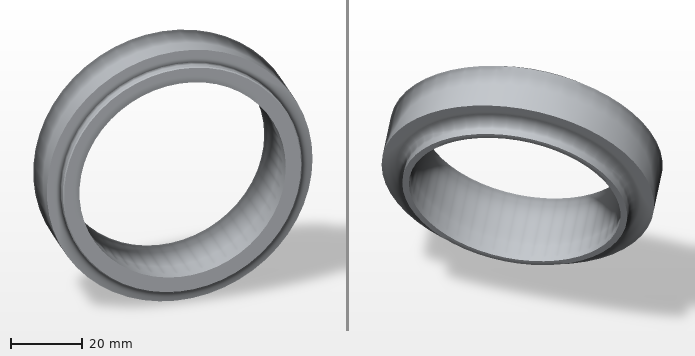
import cadquery as cq

bore_diameter = 60.3
neck_diameter = 64.1
spigot_diameter = 69.9
flange_diameter = 77.67

total_length = 21.5
neck_length = 5.0
spigot_length = 2.9
flange_length = total_length - neck_length - spigot_length

neck_fillet_radius = 2.5
spigot_chamfer = 0.3


def ring_section():
    """Half section of the ring: local x runs along the axis, local y is the radius."""
    bore_radius = bore_diameter / 2
    neck_radius = neck_diameter / 2
    spigot_radius = spigot_diameter / 2
    flange_radius = flange_diameter / 2
    flange_start = neck_length
    flange_end = flange_start + flange_length

    return (
        cq.Workplane("XY")
        .moveTo(0, bore_radius)
        .lineTo(0, neck_radius)
        .lineTo(flange_start - neck_fillet_radius, neck_radius)
        .radiusArc((flange_start, neck_radius + neck_fillet_radius), -neck_fillet_radius)
        .lineTo(flange_start, flange_radius)
        .lineTo(flange_end, flange_radius)
        .lineTo(flange_end, spigot_radius)
        .lineTo(total_length - spigot_chamfer, spigot_radius)
        .lineTo(total_length, spigot_radius - spigot_chamfer)
        .lineTo(total_length, bore_radius)
        .close()
    )


result = ring_section().revolve(360, (0, 0, 0), (1, 0, 0))